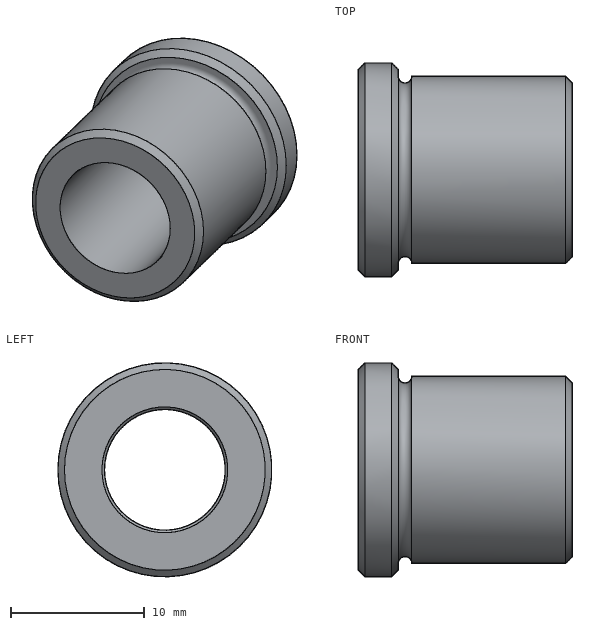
import cadquery as cq

total_length = 16.0
head_diameter = 16.0
head_length = 3.0
body_diameter = 14.0
bore_diameter = 9.0
edge_chamfer = 0.5
bore_chamfer = 0.2
groove_radius = 0.5

head_radius = head_diameter / 2
body_radius = body_diameter / 2
groove_center_x = head_length + groove_radius
groove_end_x = head_length + 2 * groove_radius


def make_blank():
    """Revolve the head, undercut and body as one solid of revolution."""
    profile = (
        cq.Workplane("XY")
        .moveTo(0, 0)
        .lineTo(0, head_radius - edge_chamfer)
        .lineTo(edge_chamfer, head_radius)
        .lineTo(head_length - edge_chamfer, head_radius)
        .lineTo(head_length, head_radius - edge_chamfer)
        .lineTo(head_length, body_radius)
        .threePointArc((groove_center_x, body_radius - groove_radius), (groove_end_x, body_radius))
        .lineTo(total_length - edge_chamfer, body_radius)
        .lineTo(total_length, body_radius - edge_chamfer)
        .lineTo(total_length, 0)
        .close()
    )
    return profile.revolve(360, (0, 0, 0), (1, 0, 0))


def make_bore():
    """Through bore with a small chamfer at the head face."""
    bore_radius = bore_diameter / 2
    mouth_radius = bore_radius + bore_chamfer
    profile = (
        cq.Workplane("XY")
        .moveTo(0, 0)
        .lineTo(0, mouth_radius)
        .lineTo(bore_chamfer, bore_radius)
        .lineTo(total_length, bore_radius)
        .lineTo(total_length, 0)
        .close()
    )
    return profile.revolve(360, (0, 0, 0), (1, 0, 0))


result = make_blank().cut(make_bore())